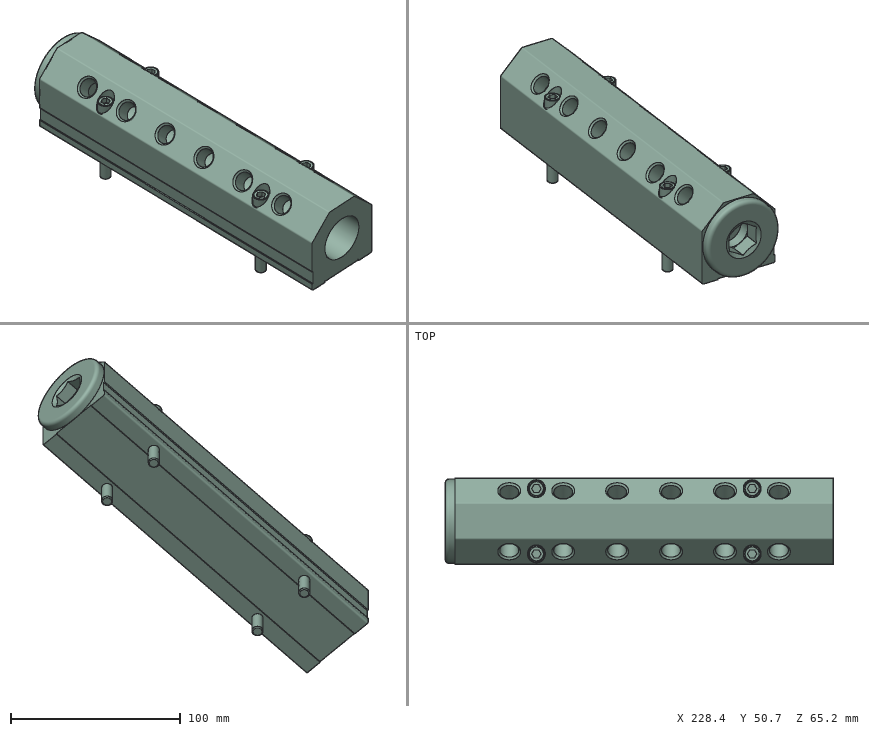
import cadquery as cq
import math


TOTAL_LENGTH = 228.4
FLANGE_THICKNESS = 5.7
BLOCK_SIDE = 50.7
BEVEL = 14.8
BEVEL_EDGE_RADIUS = 1.4
BOTTOM_EDGE_RADIUS = 1.1
BLOCK_LENGTH = TOTAL_LENGTH - FLANGE_THICKNESS
BLOCK_CENTER_X = FLANGE_THICKNESS + BLOCK_LENGTH / 2
HALF_SIDE = BLOCK_SIDE / 2
BEVEL_DISTANCE = (BLOCK_SIDE - BEVEL) / math.sqrt(2)

SIDE_RECESS_TOP = -11.2
SIDE_RECESS_BOTTOM = -20.3
BASE_RECESS_WIDTH = 28.3
RECESS_DEPTH = 0.7
SIDE_RECESS_TAPER = 0.2

BORE_RADIUS = 14.5
PORT_COUNT = 6
PORT_PITCH = 31.7
PORT_DIAMETER = 11.2
PORT_MOUTH_DIAMETER = 13.5
PORT_ANGLE = 45.0

FLANGE_RADIUS = 25.0
FLANGE_EDGE_RADIUS = 2.3
SHANK_LENGTH = 17.1
SOCKET_ACROSS_FLATS = 18.7
SOCKET_DEPTH = 11.0
SOCKET_MOUTH_RADIUS = 12.0
SOCKET_MOUTH_ANGLE = 30.0
PILOT_RADIUS = 9.5
PILOT_DEPTH = 18.3

FIRST_SCREW_X = 53.7
SCREW_PITCH_X = 4 * PORT_PITCH
SCREW_OFFSET_Y = 19.2
SCREW_RADIUS = 3.3
SCREW_PROTRUSION = 14.5
SCREW_TIP_CHAMFER = 0.7
HEAD_RADIUS = 4.8
HEAD_HEIGHT = 6.5
HEAD_EDGE_HEIGHT = 0.2
HEAD_EDGE_WIDTH = 0.7
HEAD_TOP_Z = 17.1
HEAD_BOTTOM_Z = HEAD_TOP_Z - HEAD_HEIGHT
COUNTERBORE_RADIUS = 5.3
KEY_ACROSS_FLATS = 4.8
KEY_DEPTH = 3.2

PORT_POSITIONS_X = [BLOCK_CENTER_X + (i - (PORT_COUNT - 1) / 2) * PORT_PITCH for i in range(PORT_COUNT)]
SCREW_POSITIONS = [
    (x, side * SCREW_OFFSET_Y)
    for x in (FIRST_SCREW_X, FIRST_SCREW_X + SCREW_PITCH_X)
    for side in (-1, 1)
]


def x_cylinder(radius, start, end):
    """Cylinder on the bore axis between two X positions."""
    return cq.Workplane("YZ", origin=(start, 0, 0)).circle(radius).extrude(end - start)


def x_box(start_y, end_y, start_z, end_z):
    """Box as long as the block, given by its Y and Z limits."""
    profile = cq.Workplane("YZ", origin=(FLANGE_THICKNESS, (start_y + end_y) / 2, (start_z + end_z) / 2))
    return profile.rect(end_y - start_y, end_z - start_z).extrude(BLOCK_LENGTH)


def make_port_cutter():
    """Upright port at the bore axis with a 45 degree mouth at the bevel distance."""
    hole_radius = PORT_DIAMETER / 2
    mouth_radius = PORT_MOUTH_DIAMETER / 2
    profile = cq.Workplane("XZ").polyline([
        (0, 0),
        (hole_radius, 0),
        (hole_radius, BEVEL_DISTANCE - (mouth_radius - hole_radius)),
        (mouth_radius, BEVEL_DISTANCE),
        (0, BEVEL_DISTANCE),
    ])
    return profile.close().revolve(360, (0, 0, 0), (0, 1, 0))


def make_block_blank():
    """Square bar with two bevelled upper edges and rounded corners."""
    blank = x_box(-HALF_SIDE, HALF_SIDE, -HALF_SIDE, HALF_SIDE)
    blank = blank.edges("|X and >Z").chamfer(BEVEL)
    blank = blank.edges("|X exc <Z").fillet(BEVEL_EDGE_RADIUS)
    return blank.edges("|X and <Z").fillet(BOTTOM_EDGE_RADIUS)


def make_block():
    block = make_block_blank()

    floor_y = -HALF_SIDE + RECESS_DEPTH
    side_recess = cq.Workplane("YZ", origin=(FLANGE_THICKNESS, 0, 0)).polyline([
        (-HALF_SIDE, SIDE_RECESS_TOP),
        (floor_y, SIDE_RECESS_TOP - SIDE_RECESS_TAPER),
        (floor_y, SIDE_RECESS_BOTTOM + SIDE_RECESS_TAPER),
        (-HALF_SIDE, SIDE_RECESS_BOTTOM),
    ]).close().extrude(BLOCK_LENGTH)
    block = block.cut(side_recess)

    half_base = BASE_RECESS_WIDTH / 2
    block = block.cut(x_box(-half_base, half_base, -HALF_SIDE, -HALF_SIDE + RECESS_DEPTH))

    block = block.cut(x_cylinder(BORE_RADIUS, FLANGE_THICKNESS, TOTAL_LENGTH))

    for tilt in (-PORT_ANGLE, PORT_ANGLE):
        tilted_port = make_port_cutter().rotate((0, 0, 0), (1, 0, 0), tilt)
        for x in PORT_POSITIONS_X:
            block = block.cut(tilted_port.translate((x, 0, 0)))

    top_plane = cq.Workplane("XY", origin=(0, 0, HEAD_BOTTOM_Z)).pushPoints(SCREW_POSITIONS)
    block = block.cut(top_plane.circle(COUNTERBORE_RADIUS).extrude(BLOCK_SIDE))
    return block.cut(top_plane.circle(SCREW_RADIUS).extrude(-BLOCK_SIDE))


def make_plug():
    """Flanged plug whose shank fills the open end of the bore."""
    plug = x_cylinder(FLANGE_RADIUS, 0, FLANGE_THICKNESS).edges("<X").fillet(FLANGE_EDGE_RADIUS)
    plug = plug.union(x_cylinder(BORE_RADIUS, FLANGE_THICKNESS, FLANGE_THICKNESS + SHANK_LENGTH))

    corner_diameter = SOCKET_ACROSS_FLATS / math.cos(math.pi / 6)
    socket = cq.Workplane("YZ").polygon(6, corner_diameter).extrude(SOCKET_DEPTH)
    plug = plug.cut(socket.rotate((0, 0, 0), (1, 0, 0), 90))

    pilot = x_cylinder(PILOT_RADIUS, SOCKET_DEPTH, PILOT_DEPTH)
    plug = plug.cut(pilot)

    cone_height = SOCKET_MOUTH_RADIUS * math.tan(math.radians(SOCKET_MOUTH_ANGLE))
    cone = cq.Solid.makeCone(SOCKET_MOUTH_RADIUS, 0, cone_height, dir=cq.Vector(1, 0, 0))
    return plug.cut(cq.Workplane(cone))


def make_screw():
    """Socket head screw on the Z axis, already at its final height."""
    tip_z = -HALF_SIDE - SCREW_PROTRUSION
    shank = cq.Workplane("XY", origin=(0, 0, tip_z)).circle(SCREW_RADIUS).extrude(HEAD_BOTTOM_Z - tip_z)
    shank = shank.faces("<Z").chamfer(SCREW_TIP_CHAMFER)
    head = cq.Workplane("XY", origin=(0, 0, HEAD_BOTTOM_Z)).circle(HEAD_RADIUS).extrude(HEAD_HEIGHT)
    head = head.faces(">Z").chamfer(HEAD_EDGE_HEIGHT, HEAD_EDGE_WIDTH)
    key_corners = KEY_ACROSS_FLATS / math.cos(math.pi / 6)
    key = cq.Workplane("XY", origin=(0, 0, HEAD_TOP_Z)).polygon(6, key_corners).extrude(-KEY_DEPTH)
    return shank.union(head).cut(key)


block = make_block()
plug = make_plug()
screws = [make_screw().translate((x, y, 0)) for x, y in SCREW_POSITIONS]

result = cq.Compound.makeCompound([block.val(), plug.val(), *[screw.val() for screw in screws]])